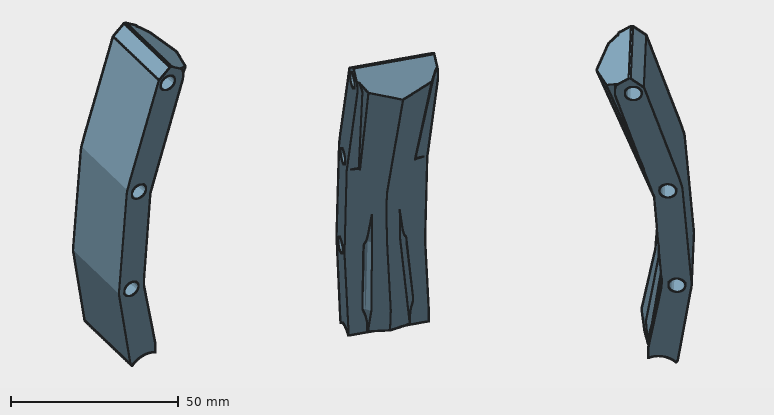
import cadquery as cq
import math

width = 25.0
half_width = width / 2
height = 108.2
back_depth = 28.8
hole_diameter = 5.1
knuckle_radius = 4.4

top_hole = (17.4, 102.5)
middle_hole = (7.1, 65.5)
lower_hole = (knuckle_radius, 29.5)

crest_front = (18.2, height)
crest_back = (18.8, height)
ridge_top = (back_depth, 101.1)
top_corner_y = 22.5

middle_knuckle_end = 8
lower_knuckle_start = 4
lower_knuckle_end = -16

upper_crown = [
    (height, crest_back[0], [(0, 31.3), (10.0, 27.2), (half_width, 22.6)]),
    (47.6, 2.2, [(0, 9.6), (8.0, 6.4), (10.1, 2.6)]),
]
middle_crown = [
    (63.5, 7.6, [(0, 13.2), (half_width, 11.1)]),
    (43.3, 6.5, [(0, 10.0), (half_width, 7.9)]),
]
lower_crown = [
    (49.8, 6.5, [(0, 10.2), (4.3, 9.6), (5.4, 8.9), (6.5, 8.3)]),
    (33.1, 5.4, [(0, 11.2), (4.3, 10.2), (5.4, 9.3), (6.5, 8.9)]),
    (10.1, 8.7, [(0, 15.4), (5.6, 13.8), (6.9, 12.7), (7.9, 12.1)]),
    (2.0, 9.5, [(0, 14.5), (6.5, 13.2), (7.1, 12.4), (7.8, 12.1)]),
]


def top_face_z(y):
    """Height of the slanted top face at a given y."""
    slope = (ridge_top[1] - crest_back[1]) / (ridge_top[0] - crest_back[0])
    return crest_back[1] + slope * (y - crest_back[0])


def knuckle_point(hole, angle):
    """Point on the rounded front of a knuckle, angle in degrees above -Y."""
    turn = math.radians(angle)
    return (
        hole[0] - knuckle_radius * math.cos(turn),
        hole[1] + knuckle_radius * math.sin(turn),
    )


def yz_prism(outline):
    """Extrude a closed YZ outline across the full width."""
    return outline.extrude(half_width, both=True)


def make_links():
    """The three links, bent at the two lower holes."""
    lower_knuckle_middle = (lower_knuckle_start + lower_knuckle_end) / 2
    outline = (
        cq.Workplane("YZ")
        .moveTo(*crest_back)
        .lineTo(*crest_front)
        .lineTo(14.3, 104.9)
        .lineTo(14.1, 104.4)
        .lineTo(3.9, 71.1)
        .lineTo(3.0, 67.8)
        .tangentArcPoint(knuckle_point(middle_hole, middle_knuckle_end), relative=False)
        .lineTo(*knuckle_point(lower_hole, lower_knuckle_start))
        .threePointArc(
            knuckle_point(lower_hole, lower_knuckle_middle),
            knuckle_point(lower_hole, lower_knuckle_end),
        )
        .lineTo(4.1, 0.9)
        .lineTo(4.7, 0)
        .threePointArc((9.5, 2.3), (13.0, 1.5))
        .lineTo(13.0, 5.1)
        .lineTo(9.0, 28.8)
        .lineTo(9.0, 31.4)
        .lineTo(11.2, 63.2)
        .lineTo(22.8, 101.7)
        .threePointArc((22.9, 103.3), (top_corner_y, top_face_z(top_corner_y)))
        .close()
    )
    return yz_prism(outline)


def crown_section(z, inner_y, points):
    """Closed outline at height z, mirrored about X = 0, with a straight inner side."""
    outer_x = points[-1][0]
    mirrored = [(-x, y) for x, y in reversed(points[1:])]
    outline = [(-outer_x, inner_y)] + mirrored + points + [(outer_x, inner_y)]
    return cq.Wire.makePolygon([cq.Vector(x, y, z) for x, y in outline], close=True)


def make_crown(sections):
    """Faceted crown with straight edges from each section to the next."""
    wires = [crown_section(*section) for section in sections]
    return cq.Workplane(cq.Solid.makeLoft(wires, True))


def make_top_trim():
    """Block lying on the slanted top face, clear of the crown above and behind."""
    clearance = 10.8
    behind = back_depth + clearance
    above = height + clearance
    outline = (
        cq.Workplane("YZ")
        .moveTo(*crest_back)
        .lineTo(behind, top_face_z(behind))
        .lineTo(behind, above)
        .lineTo(crest_back[0], above)
        .close()
    )
    return yz_prism(outline)


def make_hole(center):
    """Cutter for one cross hole through the full width."""
    return yz_prism(cq.Workplane("YZ").center(*center).circle(hole_diameter / 2))


result = make_links()
result = result.union(make_crown(upper_crown).cut(make_top_trim()))
result = result.union(make_crown(middle_crown))
result = result.union(make_crown(lower_crown))
for hole in (top_hole, middle_hole, lower_hole):
    result = result.cut(make_hole(hole))